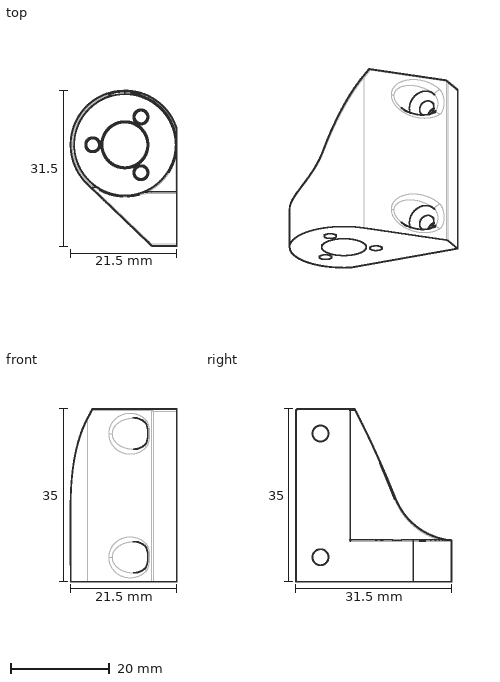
import cadquery as cq
import math

height = 35.0
cup_radius = 11.0
mount_face_x = 10.5
end_face_y = -20.5
end_face_width = 5.0

rim_z = 8.5
cut_top_y = -8.6
cut_joint_y = -0.3
cut_joint_z = 16.8
cut_lower_bow = 1.79
cut_upper_bow = 0.24

corner_wall_y = -9.5

bore_diameter = 20.5
bore_radius = bore_diameter / 2
floor_z = 6.5
shaft_hole_diameter = 9.0
motor_hole_diameter = 2.5
motor_bolt_circle_radius = 6.5
motor_hole_count = 3
hole_chamfer = 0.3

screw_y = -15.5
screw_heights = (5.0, 30.0)
screw_hole_diameter = 3.2
screw_head_diameter = 6.3
countersink_x = 4.85
screw_entry_fillet = 1.0

end_fillet = 0.5
rim_fillet = 0.25
corner_wall_blend = 9.0

corner_x = mount_face_x - end_face_width
corner_distance = math.hypot(corner_x, end_face_y)
tangent_angle = math.atan2(end_face_y, corner_x) - math.acos(cup_radius / corner_distance)
tangent_x = cup_radius * math.cos(tangent_angle)
tangent_y = cup_radius * math.sin(tangent_angle)

clearance = 10.0
tolerance = 0.01


def make_body():
    """Plan outline of the cup and plate, extruded to full height."""
    flat_start_y = math.sqrt(cup_radius**2 - mount_face_x**2)
    arc_offset = cup_radius / math.sqrt(2)
    return (
        cq.Workplane("XY")
        .moveTo(mount_face_x, end_face_y)
        .lineTo(mount_face_x, flat_start_y)
        .threePointArc((-arc_offset, arc_offset), (tangent_x, tangent_y))
        .lineTo(corner_x, end_face_y)
        .close()
        .extrude(height)
    )


def bowed_midpoint(start, end, bow):
    """Middle of the chord from start to end, moved by bow to the left of the chord."""
    along_y = end[0] - start[0]
    along_z = end[1] - start[1]
    chord = math.hypot(along_y, along_z)
    return (
        (start[0] + end[0]) / 2 - bow * along_z / chord,
        (start[1] + end[1]) / 2 + bow * along_y / chord,
    )


def make_front_cut():
    """Everything above the curved front profile, across the full width."""
    rim = (bore_radius, rim_z)
    joint = (cut_joint_y, cut_joint_z)
    top = (cut_top_y, height)
    return (
        cq.Workplane("YZ")
        .moveTo(*rim)
        .threePointArc(bowed_midpoint(rim, joint, cut_lower_bow), joint)
        .threePointArc(bowed_midpoint(joint, top, -cut_upper_bow), top)
        .lineTo(cut_top_y, height + clearance)
        .lineTo(cup_radius + clearance, height + clearance)
        .lineTo(cup_radius + clearance, rim_z)
        .close()
        .extrude(cup_radius + clearance, both=True)
    )


def make_corner_cut(bottom_z):
    """Block over the corner pocket and the +X half of the cup, from bottom_z up."""
    width = mount_face_x + clearance
    length = cup_radius + clearance - corner_wall_y
    block = cq.Workplane("XY").box(width, length, height, centered=False)
    return block.translate((0, corner_wall_y, bottom_z))


def select_edges(part, test, candidates=None):
    """Edges of part, among the candidates, whose sample points all pass test(point)."""
    samples = (0.2, 0.5, 0.8)
    return part.newObject([
        edge for edge in part.edges(candidates).vals()
        if all(test(edge.positionAt(sample)) for sample in samples)
    ])


def on_circle(point, radius):
    return abs(math.hypot(point.x, point.y) - radius) < tolerance


def round_end_face(part):
    """Round the slanted corner and the top edge of the end face."""
    def on_end_face(point):
        on_face = abs(point.y - end_face_y) < tolerance
        at_corner = abs(point.x - corner_x) < tolerance
        at_top = abs(point.z - height) < tolerance
        return on_face and (at_corner or at_top)

    return select_edges(part, on_end_face).fillet(end_fillet)


def round_outer_rim(part):
    """Round the upper outline of the cup, the slanted face and the corner pocket."""
    def on_outer_rim(point):
        along_normal = point.x * math.cos(tangent_angle) + point.y * math.sin(tangent_angle)
        on_slant = abs(along_normal - cup_radius) < tolerance
        at_rim = abs(point.z - rim_z) < tolerance
        on_mount_face = abs(point.x - mount_face_x) < tolerance
        on_cup = on_circle(point, cup_radius)
        inside_end = point.y > end_face_y + rim_fillet
        above = point.z > rim_z - tolerance
        return above and inside_end and (on_slant or on_cup or (on_mount_face and at_rim))

    return select_edges(part, on_outer_rim, "not |Z").fillet(rim_fillet)


def cut_bore(part):
    bore = cq.Workplane("XY").workplane(offset=floor_z).circle(bore_radius).extrude(height)
    return part.cut(bore)


def blend_corner_wall(part):
    """Round the upright edge where the corner pocket wall meets the bore."""
    def on_wall_edge(point):
        at_wall = abs(point.y - corner_wall_y) < tolerance
        return at_wall and on_circle(point, bore_radius)

    return select_edges(part, on_wall_edge, "|Z").fillet(corner_wall_blend)


def round_inner_rim(part):
    """Round the inner edges of the curved cut, the top face and the corner wall."""
    def on_inner_rim(point):
        at_corner_wall = abs(point.y - corner_wall_y) < tolerance and point.z > height - tolerance
        return at_corner_wall or (on_circle(point, bore_radius) and point.z > rim_z + tolerance)

    return select_edges(part, on_inner_rim).fillet(rim_fillet)


def round_pocket_rim(part):
    """Round the bore mouth in the corner pocket, where the wall is too thin for a fillet."""
    arc_drop = rim_fillet * (1 - math.sqrt(0.5))
    outer_radius = bore_radius + rim_fillet
    inner_radius = bore_radius - rim_fillet
    ring = (
        cq.Workplane("XZ")
        .moveTo(inner_radius, rim_z - rim_fillet)
        .lineTo(bore_radius, rim_z - rim_fillet)
        .threePointArc((bore_radius + arc_drop, rim_z - arc_drop), (outer_radius, rim_z))
        .lineTo(outer_radius, rim_z + rim_fillet)
        .lineTo(inner_radius, rim_z + rim_fillet)
        .close()
        .revolve(360, (0, 0, 0), (0, 1, 0))
    )
    return part.cut(ring.intersect(make_corner_cut(rim_z - clearance)))


def cut_chamfered_hole(part, x, y, diameter):
    """Hole through the cup floor with a chamfer on its upper edge."""
    radius = diameter / 2
    floor = cq.Workplane("XY").center(x, y)
    hole = floor.circle(radius).extrude(floor_z)
    chamfer = (
        floor.workplane(offset=floor_z - hole_chamfer)
        .circle(radius)
        .workplane(offset=hole_chamfer)
        .circle(radius + hole_chamfer)
        .loft()
    )
    return part.cut(hole).cut(chamfer)


def cut_motor_holes(part):
    part = cut_chamfered_hole(part, 0, 0, shaft_hole_diameter)
    for index in range(motor_hole_count):
        angle = math.pi + index * 2 * math.pi / motor_hole_count
        x = motor_bolt_circle_radius * math.cos(angle)
        y = motor_bolt_circle_radius * math.sin(angle)
        part = cut_chamfered_hole(part, x, y, motor_hole_diameter)
    return part


def cut_screw_hole(part, z):
    """Through hole with a 90 degree countersink and a round head clearance."""
    head_radius = screw_head_diameter / 2
    hole_radius = screw_hole_diameter / 2
    cone_depth = head_radius - hole_radius
    axis = cq.Workplane("YZ").center(screw_y, z)
    head_bore = axis.workplane(offset=countersink_x).circle(head_radius).extrude(-cup_radius - countersink_x)
    cone = (
        axis.workplane(offset=countersink_x)
        .circle(head_radius)
        .workplane(offset=cone_depth)
        .circle(hole_radius)
        .loft()
    )
    hole = axis.circle(hole_radius).extrude(mount_face_x)
    return part.cut(head_bore).cut(cone).cut(hole)


def round_screw_entries(part):
    """Round the mouths of the head clearances in the slanted face."""
    head_radius = screw_head_diameter / 2

    def on_entry(point):
        def on_bore(z):
            return abs(math.hypot(point.y - screw_y, point.z - z) - head_radius) < tolerance

        return point.x < countersink_x - tolerance and any(on_bore(z) for z in screw_heights)

    return select_edges(part, on_entry, "not |X").fillet(screw_entry_fillet)


result = make_body().cut(make_front_cut()).cut(make_corner_cut(rim_z))
result = round_end_face(result)
result = round_outer_rim(result)
result = cut_bore(result)
result = blend_corner_wall(result)
result = round_inner_rim(result)
result = round_pocket_rim(result)
result = cut_motor_holes(result)
for screw_z in screw_heights:
    result = cut_screw_hole(result, screw_z)
result = round_screw_entries(result)